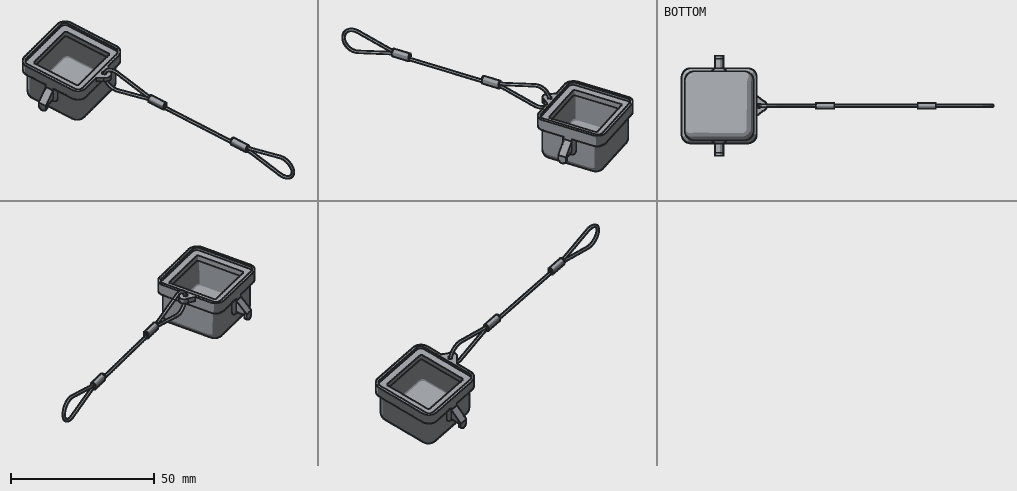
import cadquery as cq
import math

rim_size = 26.4
rim_bottom = -4.4
rim_taper_bottom = -5.3
body_size = 24.1
body_bottom = -17.8
rim_overhang = (rim_size - body_size) / 2
taper_depth = 1.7
outer_corner_radius = 3.4
bottom_edge_radius = 2.9

lip_thickness = 1.03
recess_size = rim_size - 2 * lip_thickness
recess_corner_radius = 2.0
recess_floor = -1.1
opening_size = 19.1
opening_corner_radius = 0.5
ledge_thickness = 2.3
cavity_size = 21.4
cavity_top = recess_floor - ledge_thickness
cavity_floor = -15.5
cavity_corner_radius = 2.0
cavity_floor_radius = 1.3

arm_width = 3.0
arm_radius = arm_width / 2
arm_span = 35.0
arm_reach = arm_span / 2
arm_slope_bottom = -9.5
arm_arc_center = -9.5
hook_arc_center = -11.0
hook_thickness = 1.1
arm_flare_angle = 45
arm_overlap = 0.5

tab_length = 3.5
tab_half_width = 3.5
tab_thickness = 1.9
tab_tip_length = 1.4
tab_tip_half_width = 1.9
tab_hole_diameter = 1.4
tab_hole_offset = 0.8

total_length = 108.9
cable_diameter = 1.0
cable_radius = cable_diameter / 2
cable_offset = 0.69
eye_radius = 4.5
eye_start = 14.2
lanyard_z = -tab_thickness / 2
ferrule_start = 33.8
ferrule_length = 6.4
ferrule_width = 2.1
ferrule_height = 3.0
bend_gap = 1.3
stub_length = 0.3

lanyard_end = total_length - rim_size / 2 - cable_radius
lanyard_mid = (eye_start + lanyard_end) / 2


def rounded_square(size, radius):
    return cq.Sketch().rect(size, size).vertices().fillet(radius)


def square_prism(size, radius, top, bottom):
    profile = rounded_square(size, radius)
    return cq.Workplane("XY").workplane(offset=bottom).placeSketch(profile).extrude(top - bottom)


def make_cap():
    body = square_prism(body_size, outer_corner_radius, rim_bottom, body_bottom)
    body = body.faces("<Z").edges().fillet(bottom_edge_radius)
    rim = square_prism(rim_size, outer_corner_radius, 0, rim_bottom)
    taper_angle = math.degrees(math.atan2(rim_overhang, rim_bottom - rim_taper_bottom))
    taper = (
        cq.Workplane("XY")
        .workplane(offset=rim_bottom)
        .placeSketch(rounded_square(rim_size, outer_corner_radius))
        .extrude(-taper_depth, taper=taper_angle)
    )
    return body.union(taper).union(rim)


def make_hollow():
    recess = square_prism(recess_size, recess_corner_radius, 0, recess_floor)
    opening = square_prism(opening_size, opening_corner_radius, recess_floor, cavity_top)
    cavity = square_prism(cavity_size, cavity_corner_radius, cavity_top, cavity_floor)
    cavity = cavity.faces("<Z").edges().fillet(cavity_floor_radius)
    return recess.union(opening).union(cavity)


def round_bottom_bar(arc_center, y_start):
    """Profile of a latch arm: straight sides up into the rim and a half-round bottom, facing -Y."""
    bar_top = rim_bottom + arm_overlap
    return (
        cq.Workplane("XZ", origin=(0, y_start, 0))
        .moveTo(-arm_radius, bar_top)
        .lineTo(-arm_radius, arc_center)
        .threePointArc((0, arc_center - arm_radius), (arm_radius, arc_center))
        .lineTo(arm_radius, bar_top)
        .close()
    )


def make_arm():
    """Latch arm on the -Y side."""
    rim_y = rim_size / 2
    base = round_bottom_bar(arm_arc_center, -rim_y).extrude(-rim_overhang, taper=-arm_flare_angle)
    beam = round_bottom_bar(arm_arc_center, -rim_y).extrude(arm_reach - rim_y)
    hook = round_bottom_bar(hook_arc_center, -arm_reach + hook_thickness).extrude(hook_thickness)
    above_slope = (
        cq.Workplane("YZ")
        .moveTo(-rim_y, 0)
        .lineTo(-rim_y, rim_taper_bottom)
        .lineTo(-arm_reach, arm_slope_bottom)
        .lineTo(-arm_reach, 0)
        .close()
        .extrude(arm_radius, both=True)
    )
    return base.union(beam.union(hook).cut(above_slope))


def make_tab():
    edge = rim_size / 2
    tip_start = edge + tab_length - tab_tip_length
    root = edge - lip_thickness / 2
    plate = (
        cq.Workplane("XY")
        .moveTo(root, -tab_half_width)
        .lineTo(edge, -tab_half_width)
        .lineTo(tip_start, -tab_tip_half_width)
        .threePointArc((edge + tab_length, 0), (tip_start, tab_tip_half_width))
        .lineTo(edge, tab_half_width)
        .lineTo(root, tab_half_width)
        .close()
        .extrude(-tab_thickness)
    )
    hole = (
        cq.Workplane("XY")
        .center(edge + tab_hole_offset, 0)
        .circle(tab_hole_diameter / 2)
        .extrude(-tab_thickness)
    )
    return plate.cut(hole)


def make_half_lanyard():
    """Eye, ferrule and cable from the tab to the middle of the lanyard."""
    eye_x = eye_start + eye_radius
    ferrule_end = ferrule_start + ferrule_length
    bend_x = ferrule_start - bend_gap

    run = bend_x - eye_x
    tangent_angle = math.atan2(cable_offset, run) + math.acos(eye_radius / math.hypot(run, cable_offset))
    tangent_x = eye_x + eye_radius * math.cos(tangent_angle)
    tangent_z = eye_radius * math.sin(tangent_angle)

    stub_end = ferrule_end + stub_length
    path = (
        cq.Workplane("XZ", origin=(0, 0, lanyard_z))
        .moveTo(stub_end, cable_offset)
        .lineTo(bend_x, cable_offset)
        .lineTo(tangent_x, tangent_z)
        .threePointArc((eye_start, 0), (tangent_x, -tangent_z))
        .lineTo(bend_x, -cable_offset)
        .lineTo(lanyard_mid, -cable_offset)
    )
    cable = (
        cq.Workplane("YZ", origin=(stub_end, 0, lanyard_z + cable_offset))
        .circle(cable_radius)
        .sweep(path, transition="right")
    )
    ferrule = (
        cq.Workplane("YZ", origin=(ferrule_start, 0, lanyard_z))
        .slot2D(ferrule_height, ferrule_width, 90)
        .extrude(ferrule_length)
    )
    return cable.union(ferrule)


cap = make_cap().union(make_tab())
arm = make_arm()
cap = cap.union(arm).union(arm.mirror("XZ")).cut(make_hollow())

half_lanyard = make_half_lanyard()
lanyard = half_lanyard.union(half_lanyard.mirror("YZ", (lanyard_mid, 0, 0)))

result = cap.union(lanyard)